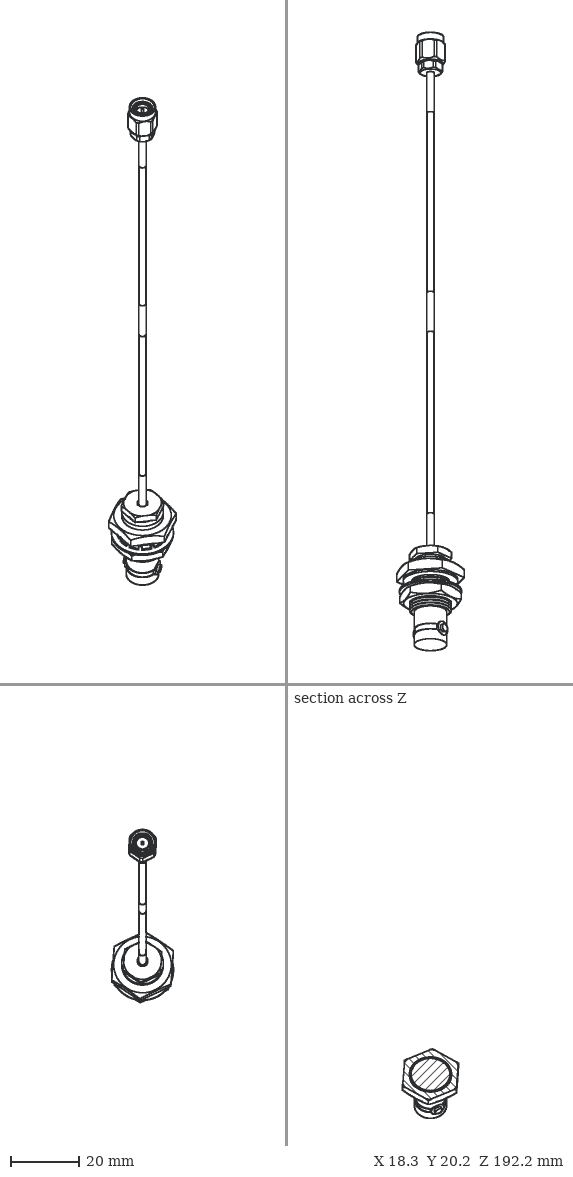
import cadquery as cq
import math

total_height = 192.2

barrel_radius = 4.8
barrel_top = 10.4
thread_radius = 6.1
thread_depth = 0.5
thread_pitch = 0.9
flange_face_bottom = 20.0
flange_face_radius = 8.0
flange_bottom = 20.5
flange_top = 24.0
flange_corner_diameter = 20.2
flange_chamfer_radius = 8.5
collar_radius = 6.1
collar_top = 25.5
neck_radius = 4.5
jack_hex_bottom = 26.9
jack_top = 29.2
jack_hex_flats = 11.0
jack_hex_chamfer_radius = 5.5
cable_hole_radius = 1.5
cable_hole_depth = 0.5

nut_chamfer_angle = 30.0

lug_height = 4.0
lug_radius = 1.2
lug_reach = 5.5
lug_pad_radius = 2.1
groove_width = 1.7
groove_depth = 0.2

nut_bottom = 13.0
washer_bottom = 16.5
nut_flats = 16.0
nut_chamfer_radius = 7.9
washer_diameter = 18.3
washer_rim_thickness = 0.5
washer_tooth_radius = 7.5
washer_tooth_height = 1.2
washer_tooth_count = 12
washer_slot_width = 1.0

cable_radius = 1.05
sleeve_radius = 1.13
sleeve_length = 12.7

plug_bottom = 180.8
coupling_bottom = 183.7
coupling_hex_top = 190.0
coupling_flats = 7.9
coupling_outer_diameter = 8.6
coupling_bottom_radius = 3.7
coupling_top_radius = 3.8
coupling_bore_radius = 2.9
coupling_mouth_chamfer = 0.5
coupling_thread_pitch = 0.71
coupling_thread_depth = 0.4
coupling_floor = 2.0
plug_flats = 6.5
plug_outer_diameter = 7.1
plug_end_radius = 3.0
plug_chamfer_angle = 45.0
contact_radius = 2.3
contact_bore_radius = 2.0
contact_recess = 1.2
contact_top = 191.4
pin_radius = 0.4

cable_bottom = jack_top - cable_hole_depth

hexagon_sides = 6


def cylinder(radius, bottom, top):
    return cq.Workplane("XY").workplane(offset=bottom).circle(radius).extrude(top - bottom)


def revolved(profile):
    """Solid of revolution about Z from (radius, height) points."""
    return cq.Workplane("XZ").polyline(profile).close().revolve(360, (0, 0), (0, 1))


def corner_radius(flats):
    """Radius through the corners of a hexagon with the given size across flats."""
    return flats / 2 / math.cos(math.pi / hexagon_sides)


def hexagon(flats, bottom, top):
    """Hexagonal prism with two corners on the Y axis."""
    prism = cq.Workplane("XY").polygon(hexagon_sides, 2 * corner_radius(flats)).extrude(top - bottom)
    return prism.rotate((0, 0, 0), (0, 0, 1), 180 / hexagon_sides).translate((0, 0, bottom))


def chamfered_hexagon(flats, bottom, top, outer_radius, bottom_radius, top_radius, chamfer_angle):
    """Hexagonal prism turned down to outer_radius, with conical chamfers to the given end radii.

    An end whose radius equals outer_radius stays square. The angle is measured from the end face.
    """
    slope = math.tan(math.radians(chamfer_angle))
    envelope = [(0, bottom), (bottom_radius, bottom)]
    if bottom_radius < outer_radius:
        envelope.append((outer_radius, bottom + (outer_radius - bottom_radius) * slope))
    if top_radius < outer_radius:
        envelope.append((outer_radius, top - (outer_radius - top_radius) * slope))
    envelope += [(top_radius, top), (0, top)]
    return hexagon(flats, bottom, top).intersect(revolved(envelope))


def thread_profile(inner_radius, depth, pitch, bottom, top):
    """Points of a zigzag of V-shaped thread rings, from bottom up to the last whole ring below top."""
    ring_count = int((top - bottom) / pitch)
    points = [(inner_radius, bottom)]
    for ring in range(ring_count):
        ring_bottom = bottom + ring * pitch
        points.append((inner_radius + depth, ring_bottom + pitch / 2))
        points.append((inner_radius, ring_bottom + pitch))
    return points


def threaded_shank():
    root_radius = thread_radius - thread_depth
    profile = [(0, barrel_top)]
    profile += thread_profile(root_radius, thread_depth, thread_pitch, barrel_top, flange_face_bottom)
    profile += [(root_radius, flange_face_bottom), (0, flange_face_bottom)]
    return revolved(profile)


def make_barrel():
    """Barrel with a shallow groove, crossed by a flat round pad and a lug on both X sides."""
    groove_bottom = lug_height - groove_width / 2
    groove_top = lug_height + groove_width / 2
    groove = cylinder(barrel_radius, groove_bottom, groove_top)
    groove = groove.cut(cylinder(barrel_radius - groove_depth, groove_bottom, groove_top))
    barrel = cylinder(barrel_radius, 0, barrel_top).cut(groove)
    for radius, reach in ((lug_pad_radius, barrel_radius), (lug_radius, lug_reach)):
        cross_bar = cq.Workplane("YZ").center(0, lug_height).circle(radius).extrude(reach, both=True)
        barrel = barrel.union(cross_bar)
    return barrel


def make_jack_flange():
    flats = flange_corner_diameter * math.cos(math.pi / hexagon_sides)
    outer_radius = flange_corner_diameter / 2
    return chamfered_hexagon(
        flats, flange_bottom, flange_top, outer_radius, outer_radius, flange_chamfer_radius, nut_chamfer_angle
    )


def make_jack_hex():
    outer_radius = corner_radius(jack_hex_flats)
    return chamfered_hexagon(
        jack_hex_flats,
        jack_hex_bottom,
        jack_top,
        outer_radius,
        outer_radius,
        jack_hex_chamfer_radius,
        nut_chamfer_angle,
    )


def make_jack():
    jack = make_barrel().union(threaded_shank())
    jack = jack.union(cylinder(flange_face_radius, flange_face_bottom, flange_bottom))
    jack = jack.union(make_jack_flange())
    jack = jack.union(cylinder(collar_radius, flange_top, collar_top))
    jack = jack.union(cylinder(neck_radius, collar_top, jack_hex_bottom))
    jack = jack.union(make_jack_hex())
    return jack.cut(cylinder(cable_hole_radius, cable_bottom, jack_top))


def make_panel_nut():
    nut = chamfered_hexagon(
        nut_flats,
        nut_bottom,
        washer_bottom,
        corner_radius(nut_flats),
        nut_chamfer_radius,
        nut_chamfer_radius,
        nut_chamfer_angle,
    )
    return nut.cut(cylinder(thread_radius, nut_bottom, washer_bottom))


def make_washer():
    """Flat rim with a raised inner ring, which radial slots split into teeth."""
    rim_top = washer_bottom + washer_rim_thickness
    tooth_top = washer_bottom + washer_tooth_height
    washer = cylinder(washer_diameter / 2, washer_bottom, rim_top)
    washer = washer.union(cylinder(washer_tooth_radius, washer_bottom, tooth_top))
    slot_height = tooth_top - rim_top
    slot = cq.Workplane("XY").box(
        washer_tooth_radius, washer_slot_width, slot_height, centered=(False, True, False)
    )
    slot = slot.translate((0, 0, rim_top))
    tooth_angle = 360 / washer_tooth_count
    for tooth in range(washer_tooth_count):
        slot_angle = (tooth + 0.5) * tooth_angle
        washer = washer.cut(slot.rotate((0, 0, 0), (0, 0, 1), slot_angle))
    return washer.cut(cylinder(thread_radius, washer_bottom, tooth_top))


def make_cable():
    return cylinder(cable_radius, cable_bottom, plug_bottom)


def make_sleeve(bottom):
    top = bottom + sleeve_length
    return cylinder(sleeve_radius, bottom, top).cut(cylinder(cable_radius, bottom, top))


def threaded_bore():
    """Space inside the coupling nut: threaded, with a chamfered mouth."""
    bottom = coupling_bottom + coupling_floor
    thread_top = total_height - coupling_mouth_chamfer
    profile = [(0, bottom)]
    profile += thread_profile(
        coupling_bore_radius, coupling_thread_depth, coupling_thread_pitch, bottom, thread_top
    )
    profile.append((coupling_bore_radius, thread_top))
    profile.append((coupling_bore_radius + coupling_mouth_chamfer, total_height))
    profile.append((0, total_height))
    return revolved(profile)


def make_coupling_nut():
    nut = chamfered_hexagon(
        coupling_flats,
        coupling_bottom,
        coupling_hex_top,
        coupling_outer_diameter / 2,
        coupling_bottom_radius,
        coupling_top_radius,
        plug_chamfer_angle,
    )
    nut = nut.union(cylinder(coupling_top_radius, coupling_hex_top, total_height))
    nut = nut.cut(cylinder(contact_radius, coupling_bottom, total_height))
    return nut.cut(threaded_bore())


def make_plug_body():
    body = chamfered_hexagon(
        plug_flats,
        plug_bottom,
        coupling_bottom,
        plug_outer_diameter / 2,
        plug_end_radius,
        plug_end_radius,
        plug_chamfer_angle,
    )
    body = body.union(cylinder(contact_radius, coupling_bottom, contact_top))
    recess_bottom = contact_top - contact_recess
    body = body.cut(cylinder(contact_bore_radius, recess_bottom, contact_top))
    return body.union(cylinder(pin_radius, recess_bottom, contact_top))


jack = make_jack()
panel_nut = make_panel_nut()
washer = make_washer()
cable = make_cable()
coupling_nut = make_coupling_nut()
plug_body = make_plug_body()

middle_sleeve_bottom = (jack_top + plug_bottom - sleeve_length) / 2
sleeve_bottoms = [cable_bottom, middle_sleeve_bottom, plug_bottom - sleeve_length]
sleeves = [make_sleeve(bottom).val() for bottom in sleeve_bottoms]

result = cq.Compound.makeCompound(
    [
        jack.val(),
        panel_nut.val(),
        washer.val(),
        cable.val(),
        *sleeves,
        coupling_nut.val(),
        plug_body.val(),
    ]
)